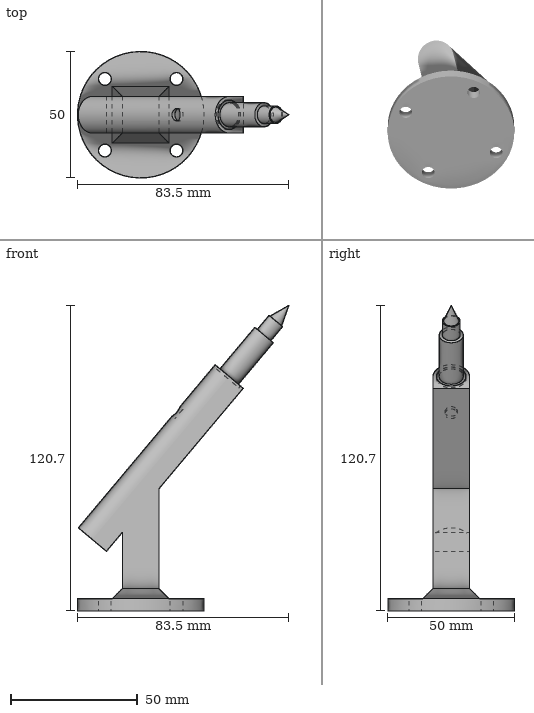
import cadquery as cq
import math

flange_diameter = 50.0
flange_thickness = 5.0
bolt_hole_diameter = 5.0
bolt_circle_diameter = 40.0
bolt_hole_count = 4

column_width = 14.5
foot_height = 4.0
foot_width = column_width + 2 * foot_height

tilt_angle = 50.0
barrel_start_x = -19.1
barrel_start_z = 28.2
barrel_length = 84.0
barrel_radius = column_width / 2

pin_diameter = 9.5
pin_length = 21.4
neck_diameter = 7.0
neck_length = 7.2
tip_base_diameter = 6.0
tip_length = 8.1

bore_diameter = 11.7
plug_diameter = 11.5
groove_depth = 1.0

cross_hole_diameter = 5.0
cross_hole_position = 60.0

tilt = math.radians(tilt_angle)
barrel_plane = cq.Plane(
    origin=(barrel_start_x, 0, barrel_start_z),
    xDir=(math.sin(tilt), 0, -math.cos(tilt)),
    normal=(math.cos(tilt), 0, math.sin(tilt)),
)


def barrel_axis_height(x):
    """Height of the barrel axis above the flange underside at a given X."""
    return barrel_start_z + (x - barrel_start_x) * math.tan(tilt)


def make_flange():
    return (
        cq.Workplane("XY")
        .circle(flange_diameter / 2)
        .extrude(flange_thickness)
        .faces(">Z")
        .workplane()
        .polarArray(bolt_circle_diameter / 2, 45, 360, bolt_hole_count)
        .hole(bolt_hole_diameter)
    )


def make_foot():
    return (
        cq.Workplane("XY", origin=(0, 0, flange_thickness))
        .rect(foot_width, foot_width)
        .workplane(offset=foot_height)
        .rect(column_width, column_width)
        .loft(ruled=True)
    )


def make_column():
    """Column whose slanted top ends on the barrel axis."""
    half = column_width / 2
    bottom = flange_thickness + foot_height
    return (
        cq.Workplane("XZ")
        .moveTo(-half, bottom)
        .lineTo(half, bottom)
        .lineTo(half, barrel_axis_height(half))
        .lineTo(-half, barrel_axis_height(-half))
        .close()
        .extrude(half, both=True)
    )


def make_barrel():
    return (
        cq.Workplane(barrel_plane)
        .moveTo(0, -barrel_radius)
        .lineTo(barrel_radius, -barrel_radius)
        .lineTo(barrel_radius, barrel_radius)
        .lineTo(0, barrel_radius)
        .threePointArc((-barrel_radius, 0), (0, -barrel_radius))
        .close()
        .extrude(barrel_length)
    )


def make_groove():
    return (
        cq.Workplane(barrel_plane)
        .workplane(offset=barrel_length - groove_depth)
        .circle(bore_diameter / 2)
        .circle(plug_diameter / 2)
        .extrude(groove_depth)
    )


def make_cross_hole():
    """Cutter through the crest with a flat floor touching the plug."""
    overshoot = 1.2
    floor_radius = plug_diameter / 2
    depth = barrel_radius - floor_radius
    floor_center = barrel_plane.toWorldCoords((-floor_radius, 0, cross_hole_position))
    hole_plane = cq.Plane(origin=floor_center, xDir=(0, 1, 0), normal=-barrel_plane.xDir)
    return cq.Workplane(hole_plane).circle(cross_hole_diameter / 2).extrude(depth + overshoot)


def make_pin():
    """Pin, neck and conical tip revolved about the barrel axis."""
    pin_end = barrel_length + pin_length
    neck_end = pin_end + neck_length
    profile_plane = cq.Plane(
        origin=barrel_plane.origin, xDir=barrel_plane.xDir, normal=-barrel_plane.yDir
    )
    return (
        cq.Workplane(profile_plane)
        .moveTo(0, barrel_length)
        .lineTo(pin_diameter / 2, barrel_length)
        .lineTo(pin_diameter / 2, pin_end)
        .lineTo(neck_diameter / 2, pin_end)
        .lineTo(neck_diameter / 2, neck_end)
        .lineTo(tip_base_diameter / 2, neck_end)
        .lineTo(0, neck_end + tip_length)
        .close()
        .revolve(360, (0, 0), (0, 1))
    )


result = (
    make_flange()
    .union(make_foot())
    .union(make_column())
    .union(make_barrel())
    .union(make_pin())
    .cut(make_groove())
    .cut(make_cross_hole())
)